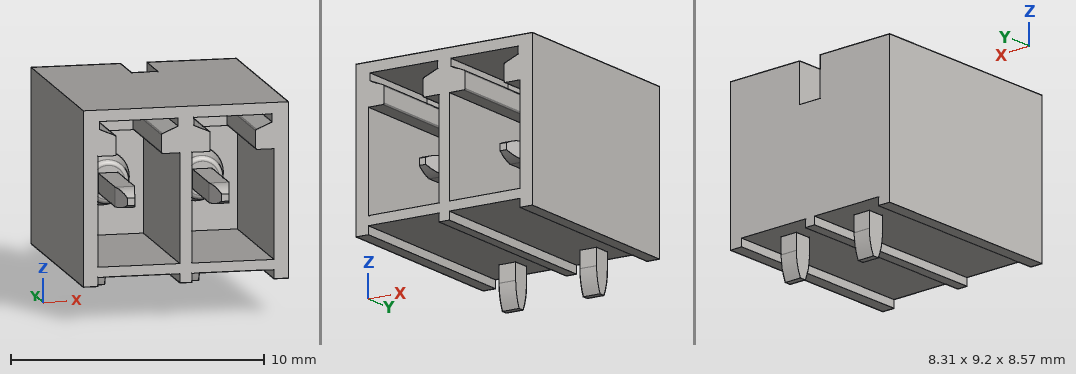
import cadquery as cq
import math


WIDTH = 8.31
DEPTH = 9.2
HEIGHT = 7.09
FRONT_Y = -DEPTH / 2
REAR_Y = DEPTH / 2

PITCH = 3.81
POLE_X = [-PITCH / 2, PITCH / 2]

CAVITY_WIDTH = 3.32
CAVITY_FLOOR_Z = 0.78
CAVITY_TOP_Z = 5.235
CAVITY_DEPTH = 6.44
CAVITY_BACK_Y = FRONT_Y + CAVITY_DEPTH

CHANNEL_HEIGHT = 0.37

SLOT_WIDTH = 1.84
SLOT_TOP_Z = 6.6
SLOT_DEPTH = 5.06
GROOVE_WIDTH = 3.17
GROOVE_TOP_Z = 6.63
GROOVE_SIDE_Z = 6.31
GROOVE_LIP_Z = 6.03
GROOVE_DEPTH = 4.14

LIP_FILLET = 0.055

NOTCH_WIDTH = 1.07
NOTCH_LENGTH = 1.95
NOTCH_DEPTH = 1.84

PIN_SIZE = 0.79
PIN_END_SIZE = 0.29
TAPER_LENGTH = 1.095
PIN_Z = 3.08
PIN_FRONT_Y = -3.24
PIN_BOTTOM_Z = -1.48
PIN_BACK_GAP = 0.92
PIN_BACK_Y = REAR_Y - PIN_BACK_GAP

COLLAR_BASE_RADIUS = 1.095
COLLAR_FRONT_RADIUS = 0.88
COLLAR_FLAT_RADIUS = 0.69
COLLAR_CONE_LENGTH = 0.83
COLLAR_ROUND = COLLAR_FRONT_RADIUS - COLLAR_FLAT_RADIUS


def box_between(x_mid, width, y_min, y_max, z_min, z_max):
    """Box centred on x_mid and spanning the given Y and Z ranges."""
    return cq.Workplane("XY").box(width, y_max - y_min, z_max - z_min).translate(
        (x_mid, (y_min + y_max) / 2, (z_min + z_max) / 2)
    )


def make_groove(x):
    """Undercut whose floor slopes down from both sides to the latch slot."""
    half_groove = GROOVE_WIDTH / 2
    half_slot = SLOT_WIDTH / 2
    return (
        cq.Workplane("XZ", origin=(x, FRONT_Y, 0))
        .moveTo(-half_groove, GROOVE_TOP_Z)
        .lineTo(half_groove, GROOVE_TOP_Z)
        .lineTo(half_groove, GROOVE_SIDE_Z)
        .lineTo(half_slot, GROOVE_LIP_Z)
        .lineTo(-half_slot, GROOVE_LIP_Z)
        .lineTo(-half_groove, GROOVE_SIDE_Z)
        .close()
        .extrude(-GROOVE_DEPTH)
    )


def make_opening(x):
    """Whole opening of one pole: cavity, latch slot and groove, with the lips' long edges rounded."""
    slot_back_y = FRONT_Y + SLOT_DEPTH
    opening = (
        box_between(x, CAVITY_WIDTH, FRONT_Y, CAVITY_BACK_Y, CAVITY_FLOOR_Z, CAVITY_TOP_Z)
        .union(box_between(x, SLOT_WIDTH, FRONT_Y, slot_back_y, CAVITY_TOP_Z, SLOT_TOP_Z))
        .union(make_groove(x))
    )
    lip_edges = cq.selectors.BoxSelector(
        (x - SLOT_WIDTH / 2 - LIP_FILLET, FRONT_Y, CAVITY_TOP_Z - LIP_FILLET),
        (x + SLOT_WIDTH / 2 + LIP_FILLET, slot_back_y, GROOVE_LIP_Z + LIP_FILLET),
    )
    return opening.edges("|Y").edges(lip_edges).fillet(LIP_FILLET)


def make_collar(x):
    """Conical collar, revolved about the pin axis."""
    cone_front_y = CAVITY_BACK_Y - COLLAR_CONE_LENGTH
    round_mid = COLLAR_ROUND * math.sqrt(0.5)
    profile = (
        cq.Workplane("XY", origin=(x, 0, PIN_Z))
        .moveTo(0, CAVITY_BACK_Y)
        .lineTo(COLLAR_BASE_RADIUS, CAVITY_BACK_Y)
        .lineTo(COLLAR_FRONT_RADIUS, cone_front_y)
        .threePointArc(
            (COLLAR_FLAT_RADIUS + round_mid, cone_front_y - round_mid),
            (COLLAR_FLAT_RADIUS, cone_front_y - COLLAR_ROUND),
        )
        .lineTo(0, cone_front_y - COLLAR_ROUND)
        .close()
    )
    return profile.revolve(360, (0, 0, 0), (0, 1, 0))


def curved_end():
    """Pin end pointing down from the origin; its front and back faces curve in to a narrow flat."""
    half_pin = PIN_SIZE / 2
    half_end = PIN_END_SIZE / 2
    inset = half_pin - half_end
    arc_radius = (TAPER_LENGTH**2 + inset**2) / (2 * inset)
    return (
        cq.Workplane("YZ")
        .moveTo(half_pin, 0)
        .radiusArc((half_end, -TAPER_LENGTH), arc_radius)
        .lineTo(-half_end, -TAPER_LENGTH)
        .radiusArc((-half_pin, 0), arc_radius)
        .close()
        .extrude(half_pin, both=True)
    )


def width_taper():
    """Prism that narrows in X towards the tip of a downward pin end."""
    half_pin = PIN_SIZE / 2
    half_end = PIN_END_SIZE / 2
    return (
        cq.Workplane("XZ")
        .moveTo(half_pin, 0)
        .lineTo(half_end, -TAPER_LENGTH)
        .lineTo(-half_end, -TAPER_LENGTH)
        .lineTo(-half_pin, 0)
        .close()
        .extrude(half_pin, both=True)
    )


def make_pin(x):
    """L-shaped pin with a tapered contact end at the front and a solder tail below."""
    half_pin = PIN_SIZE / 2
    contact_shoulder_y = PIN_FRONT_Y + TAPER_LENGTH
    tail_shoulder_z = PIN_BOTTOM_Z + TAPER_LENGTH
    tail_front_y = PIN_BACK_Y - PIN_SIZE
    pin_top_z = PIN_Z + half_pin

    contact_bar = box_between(x, PIN_SIZE, contact_shoulder_y, PIN_BACK_Y, PIN_Z - half_pin, pin_top_z)
    tail_bar = box_between(x, PIN_SIZE, tail_front_y, PIN_BACK_Y, tail_shoulder_z, pin_top_z)
    contact_end = (
        curved_end()
        .intersect(width_taper())
        .rotate((0, 0, 0), (1, 0, 0), -90)
        .translate((x, contact_shoulder_y, PIN_Z))
    )
    tail_end = curved_end().translate((x, PIN_BACK_Y - half_pin, tail_shoulder_z))
    return contact_bar.union(tail_bar).union(contact_end).union(tail_end)


def make_housing(pins):
    """Block with an opening, collar and underside channel per pole, and a rear notch in the roof."""
    housing = box_between(0, WIDTH, FRONT_Y, REAR_Y, 0, HEIGHT)
    for x in POLE_X:
        housing = (
            housing
            .cut(make_opening(x))
            .cut(box_between(x, CAVITY_WIDTH, FRONT_Y, REAR_Y, 0, CHANNEL_HEIGHT))
            .union(make_collar(x))
        )
    housing = housing.cut(
        box_between(0, NOTCH_WIDTH, REAR_Y - NOTCH_LENGTH, REAR_Y, HEIGHT - NOTCH_DEPTH, HEIGHT)
    )
    for pin in pins:
        housing = housing.cut(pin)
    return housing


pins = [make_pin(x) for x in POLE_X]
housing = make_housing(pins)

result = cq.Compound.makeCompound([housing.val(), *[pin.val() for pin in pins]])